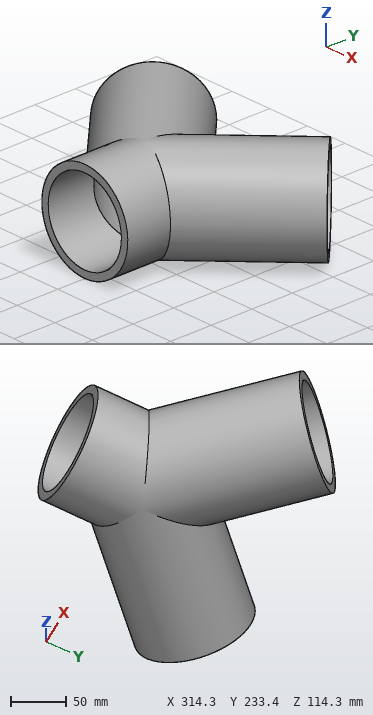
import cadquery as cq
import math

outer_diameter = 114.3
bore_diameter = 97.18
stem_length = 76.2
branch_length = 165.1
branch_angle = 45.0


def heading(angle):
    """Unit direction in the XY plane, turned from +Y towards +X by angle in degrees."""
    turn = math.radians(angle)
    return cq.Vector(math.sin(turn), math.cos(turn), 0)


def leg(diameter, length, direction):
    """Cylinder running from the junction along the given direction."""
    return cq.Workplane(cq.Solid.makeCylinder(diameter / 2, length, cq.Vector(0, 0, 0), direction))


def three_legs(diameter):
    """Stem and both branches joined into one Y-shaped solid."""
    body = leg(diameter, stem_length, cq.Vector(0, -1, 0))
    for angle in (-branch_angle, branch_angle):
        body = body.union(leg(diameter, branch_length, heading(angle)))
    return body


result = three_legs(outer_diameter).cut(three_legs(bore_diameter))